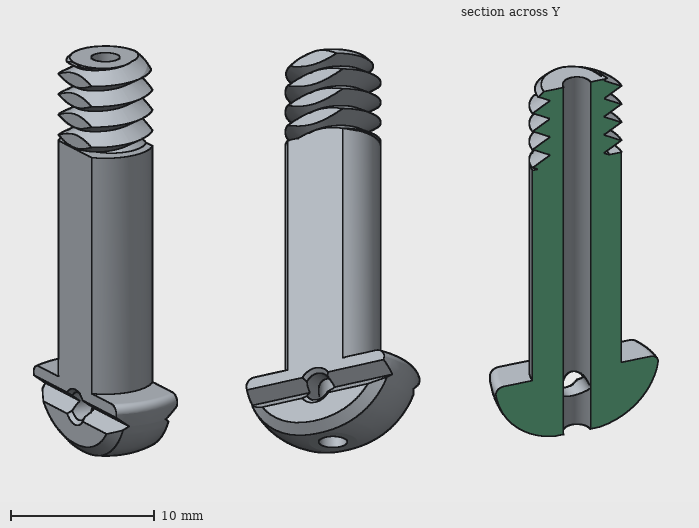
import cadquery as cq
import math

shank_radius = 3.35
thickness = 5.0
half_thickness = thickness / 2
overall_height = 28.73
bore_diameter = 2.0

head_height = 5.02
head_radius = 6.1
head_rim_fillet = 0.6
belly_radius = 5.25
belly_center_r = 0.91
belly_center_z = 5.19
belly_chamfer_on_flat = 0.52
belly_chamfer_on_belly = 0.68

groove_z = 3.4
groove_depth = 1.0
groove_half_width = 0.78
cross_hole_diameter = 2.0
cross_hole_chamfer = 0.3

shoulder_z = 22.4
pitch = 1.5
flank_angle = 30.0
crest_z = 21.85
end_face_radius = 2.5
end_chamfer_angle = 45.0

overrun = 1.0


def flats_slab(low_z, high_z):
    """Wide block that keeps only the material between the two flats."""
    slab = cq.Workplane("XY").box(4 * head_radius, thickness, high_z - low_z, centered=(True, True, False))
    return slab.translate((0, 0, low_z))


def head_blank():
    """Revolved head: flat top, rounded rim, bulging belly and flat underside."""
    rim_z = head_height - head_rim_fillet
    underside_radius = belly_center_r + math.sqrt(belly_radius**2 - belly_center_z**2)
    mid_reach = belly_radius * math.sqrt(0.5)
    belly_mid = (belly_center_r + mid_reach, belly_center_z - mid_reach)
    fillet_reach = head_rim_fillet * math.sqrt(0.5)
    profile = (
        cq.Workplane("XZ")
        .lineTo(underside_radius, 0)
        .threePointArc(belly_mid, (head_radius, rim_z))
        .threePointArc(
            (head_radius - head_rim_fillet + fillet_reach, rim_z + fillet_reach),
            (head_radius - head_rim_fillet, head_height),
        )
        .lineTo(0, head_height)
        .close()
    )
    return profile.revolve(360, (0, 0, 0), (0, 1, 0))


def head():
    """Head with flat sides; the side edges are chamfered below the grooves only."""
    blank = head_blank()
    belly = blank.intersect(flats_slab(0, groove_z))
    for flat in ("<Y", ">Y"):
        belly = belly.faces(flat).edges("not >Z").chamfer(belly_chamfer_on_belly, belly_chamfer_on_flat)
    rim = blank.intersect(flats_slab(groove_z, head_height))
    return belly.union(rim)


def shank():
    """Round shank cut by the two flats."""
    blank = cq.Workplane("XY").workplane(offset=head_height).circle(shank_radius)
    blank = blank.extrude(shoulder_z - head_height)
    return blank.intersect(flats_slab(head_height, shoulder_z))


def thread_screw():
    """Sharp V screw, built one turn at a time and overrunning both thread ends."""
    depth = pitch / 2 / math.tan(math.radians(flank_angle))
    root_radius = shank_radius - depth
    turns = math.ceil((overall_height - shoulder_z) / pitch) + 2

    def helix_turn(radius, low_z):
        return cq.Wire.makeHelix(pitch, pitch, radius, cq.Vector(0, 0, low_z)).Edges()[0]

    def core_ramp(low_z):
        axis = cq.Edge.makeLine(cq.Vector(0, 0, low_z), cq.Vector(0, 0, low_z + pitch))
        return cq.Face.makeRuledSurface(axis, helix_turn(root_radius, low_z))

    def end_wall(low_z):
        outline = cq.Workplane("XZ").moveTo(0, low_z).lineTo(root_radius, low_z)
        outline = outline.lineTo(shank_radius, low_z + pitch / 2).lineTo(root_radius, low_z + pitch)
        wire = outline.lineTo(0, low_z + pitch).close().wire().val()
        return cq.Face.makeFromWires(wire)

    faces = []
    for turn in range(turns):
        root = helix_turn(root_radius, turn * pitch)
        crest = helix_turn(shank_radius, (turn + 0.5) * pitch)
        next_root = helix_turn(root_radius, (turn + 1) * pitch)
        faces.append(cq.Face.makeRuledSurface(root, crest))
        faces.append(cq.Face.makeRuledSurface(crest, next_root))
    for end_z in (0, turns * pitch):
        faces.append(core_ramp(end_z))
        faces.append(end_wall(end_z))
    screw = cq.Solid.makeSolid(cq.Shell.makeShell(faces))
    screw = screw.fix()
    return cq.Workplane(screw).translate((0, 0, crest_z - 1.5 * pitch))


def thread():
    """Threaded end, chamfered at its tip and cut by the flats."""
    outer_radius = shank_radius + overrun
    chamfer_drop = (outer_radius - end_face_radius) * math.tan(math.radians(end_chamfer_angle))
    blank = (
        cq.Workplane("XZ")
        .moveTo(0, shoulder_z)
        .lineTo(outer_radius, shoulder_z)
        .lineTo(outer_radius, overall_height - chamfer_drop)
        .lineTo(end_face_radius, overall_height)
        .lineTo(0, overall_height)
        .close()
        .revolve(360, (0, 0, 0), (0, 1, 0))
    )
    blank = blank.intersect(flats_slab(shoulder_z, overall_height))
    return blank.intersect(thread_screw())


def head_groove(side):
    """V groove along X in the face at Y = side * half_thickness."""
    face_y = side * half_thickness
    mouth_y = side * (half_thickness + groove_depth)
    return (
        cq.Workplane("YZ")
        .moveTo(face_y - side * groove_depth, groove_z)
        .lineTo(mouth_y, groove_z + 2 * groove_half_width)
        .lineTo(mouth_y, groove_z - 2 * groove_half_width)
        .close()
        .extrude(2 * head_radius, both=True)
    )


def cross_hole():
    """Hole along Y, chamfered where it meets the flat faces."""
    hole_radius = cross_hole_diameter / 2
    mouth_radius = hole_radius + cross_hole_chamfer
    waist_y = half_thickness - cross_hole_chamfer
    return (
        cq.Workplane("XY")
        .moveTo(0, -half_thickness)
        .lineTo(mouth_radius, -half_thickness)
        .lineTo(hole_radius, -waist_y)
        .lineTo(hole_radius, waist_y)
        .lineTo(mouth_radius, half_thickness)
        .lineTo(0, half_thickness)
        .close()
        .revolve(360, (0, 0, 0), (0, 1, 0))
        .translate((0, 0, groove_z))
    )


def axial_bore():
    """Bore along the bolt axis through the whole part."""
    bore = cq.Workplane("XY").workplane(offset=-overrun).circle(bore_diameter / 2)
    return bore.extrude(overall_height + 2 * overrun)


result = head().union(shank()).union(thread())
for side in (-1, 1):
    result = result.cut(head_groove(side))
result = result.cut(cross_hole()).cut(axial_bore())